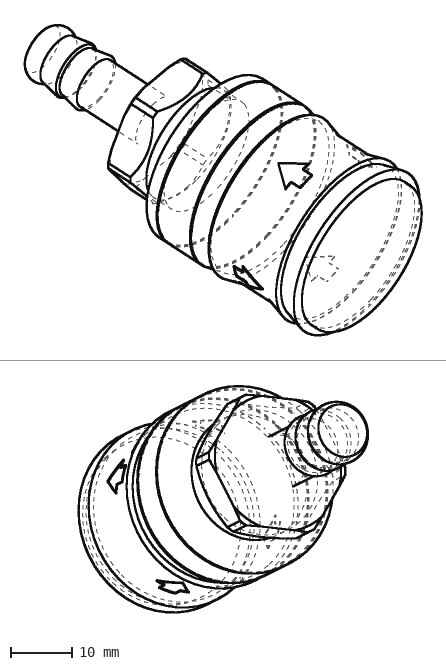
import cadquery as cq
import math


total_length = 71.0
outer_radius = 31.0 / 2

shank_radius = 9.1 / 2
barb_radius = 5.2
tip_face_radius = 4.4
bulge_peak_x = 2.05
bulge_end_x = 3.55
barb_cone_length = 3.55
barb_round = 0.2
barb_back_length = 0.4
barb_count = 2
neck_fillet = 0.9

hex_start_x = 24.85
hex_end_x = 31.9
hex_across_flats = 22.0
hex_corner_radius = 12.35
hex_front_face_radius = 11.4
hex_front_chamfer_angle = 20.0
neck_radius = 21.0 / 2

collar_start_x = 35.8
collar_end_x = 38.8
collar_face_radius = 29.0 / 2
ring_end_x = 46.0
seam_width = 0.2
seam_depth = 0.2

waist_radius = 29.0 / 2
rear_cone_small_radius = 14.6
rear_lip_x = 49.6
rear_lip_round = 0.4
waist_start_x = 53.75
waist_end_x = 61.0
front_rib_x = 64.6
front_rib_round = 0.2
front_cone_small_radius = 14.55
sleeve_end_x = 68.9
front_lip_round = 0.4

arrow_count = 4
arrow_first_angle = 13.2
arrow_length = 6.0
arrow_head_length = 4.05
arrow_head_half_width = 3.0
arrow_shaft_half_width = 1.5
arrow_depth = 0.15

cap_radius = 28.0 / 2
cap_fillet = 1.1


def revolve_about_x(outline):
    """Turn a closed outline in the XY plane (Y is the radius) about the X axis."""
    return outline.close().revolve(360, (0, 0, 0), (1, 0, 0))


def turned(points):
    """Turned solid whose outer contour runs through (x, radius) points."""
    first_x = points[0][0]
    last_x = points[-1][0]
    return revolve_about_x(cq.Workplane("XY").polyline([(first_x, 0), *points, (last_x, 0)]))


def hose_barb():
    """Rounded tip, conical barbs and a plain shank that flares into the hexagon.

    The last barb ends square; the others slope down to the next cone.
    """
    outline = (
        cq.Workplane("XY")
        .lineTo(0, tip_face_radius)
        .threePointArc((bulge_peak_x, barb_radius), (bulge_end_x, shank_radius))
    )
    barb_pitch = barb_cone_length + barb_round + barb_back_length
    for i in range(barb_count):
        cone_end_x = bulge_end_x + i * barb_pitch + barb_cone_length
        round_end_x = cone_end_x + barb_round
        is_last = i == barb_count - 1
        back_end_x = round_end_x if is_last else round_end_x + barb_back_length
        outline = (
            outline.lineTo(cone_end_x, barb_radius)
            .radiusArc((round_end_x, barb_radius - barb_round), barb_round)
            .lineTo(back_end_x, shank_radius)
        )
    outline = (
        outline.lineTo(hex_start_x - neck_fillet, shank_radius)
        .radiusArc((hex_start_x, shank_radius + neck_fillet), -neck_fillet)
        .lineTo(hex_start_x, 0)
    )
    return revolve_about_x(outline)


def hexagon():
    """Hexagon with flats facing +Z and -Z, its corners turned and chamfered."""
    corner_diameter = hex_across_flats / math.cos(math.pi / 6)
    prism = (
        cq.Workplane("YZ", origin=(hex_start_x, 0, 0))
        .polygon(6, corner_diameter)
        .extrude(hex_end_x - hex_start_x)
    )
    front_chamfer_length = (hex_corner_radius - hex_front_face_radius) * math.tan(
        math.radians(hex_front_chamfer_angle)
    )
    rear_chamfer_length = hex_corner_radius - neck_radius
    envelope = turned([
        (hex_start_x, hex_front_face_radius),
        (hex_start_x + front_chamfer_length, hex_corner_radius),
        (hex_end_x - rear_chamfer_length, hex_corner_radius),
        (hex_end_x, neck_radius),
    ])
    return prism.intersect(envelope)


def make_nipple():
    """Hose barb, hexagon and round neck in one piece."""
    neck = turned([(hex_end_x, neck_radius), (collar_start_x, neck_radius)])
    return hose_barb().union(hexagon()).union(neck)


def seamed_disc(start_x, end_x):
    """Disc with a narrow step at its +X edge that forms the seam groove."""
    return turned([
        (start_x, outer_radius),
        (end_x - seam_width, outer_radius),
        (end_x - seam_width, outer_radius - seam_depth),
        (end_x, outer_radius - seam_depth),
    ])


def make_collar():
    """Rear collar with a rounded back edge."""
    return seamed_disc(collar_start_x, collar_end_x).faces("<X").edges().fillet(
        outer_radius - collar_face_radius
    )


def make_label_ring():
    """Plain ring between the collar and the grip sleeve."""
    return seamed_disc(collar_end_x, ring_end_x)


def arrow_sunk_in_waist(angle, direction):
    """Arrow-shaped layer of the waist; direction +1 points to +X, -1 to -X."""
    tip = arrow_length / 2
    head_base = tip - arrow_head_length
    half_outline = [
        (-tip, arrow_shaft_half_width),
        (head_base, arrow_shaft_half_width),
        (head_base, arrow_head_half_width),
    ]
    mirrored_half = [(x, -y) for x, y in reversed(half_outline)]
    outline = [(direction * x, y) for x, y in [*half_outline, (tip, 0), *mirrored_half]]
    middle_x = (waist_start_x + waist_end_x) / 2
    prism = (
        cq.Workplane("XY", origin=(middle_x, 0, 0))
        .polyline(outline)
        .close()
        .extrude(outer_radius)
        .rotate((0, 0, 0), (1, 0, 0), angle)
    )
    floor_radius = waist_radius - arrow_depth
    core = turned([(waist_start_x, floor_radius), (waist_end_x, floor_radius)])
    return prism.cut(core)


def make_grip_sleeve():
    """Waisted sleeve with rounded conical lips and a rib, and arrows around its waist."""
    front_rib_end_x = front_rib_x + front_rib_round
    outline = (
        cq.Workplane("XY")
        .moveTo(ring_end_x, 0)
        .lineTo(ring_end_x, outer_radius)
        .lineTo(rear_lip_x, rear_cone_small_radius)
        .lineTo(rear_lip_x, outer_radius - rear_lip_round)
        .radiusArc((rear_lip_x + rear_lip_round, outer_radius), rear_lip_round)
        .lineTo(waist_start_x, waist_radius)
        .lineTo(waist_end_x, waist_radius)
        .lineTo(front_rib_x, outer_radius)
        .radiusArc((front_rib_end_x, outer_radius - front_rib_round), front_rib_round)
        .lineTo(front_rib_end_x, front_cone_small_radius)
        .lineTo(sleeve_end_x - front_lip_round, outer_radius)
        .radiusArc((sleeve_end_x, outer_radius - front_lip_round), front_lip_round)
        .lineTo(sleeve_end_x, 0)
    )
    sleeve = revolve_about_x(outline)
    for i in range(arrow_count):
        angle = arrow_first_angle + i * 360 / arrow_count
        direction = -1 if i % 2 == 0 else 1
        sleeve = sleeve.cut(arrow_sunk_in_waist(angle, direction))
    return sleeve


def make_end_cap():
    """Round end cap with a rounded outer edge."""
    cap = turned([(sleeve_end_x, cap_radius), (total_length, cap_radius)])
    return cap.faces(">X").edges().fillet(cap_fillet)


nipple = make_nipple()
collar = make_collar()
label_ring = make_label_ring()
grip_sleeve = make_grip_sleeve()
end_cap = make_end_cap()

result = cq.Compound.makeCompound([
    nipple.val(),
    collar.val(),
    label_ring.val(),
    grip_sleeve.val(),
    end_cap.val(),
])